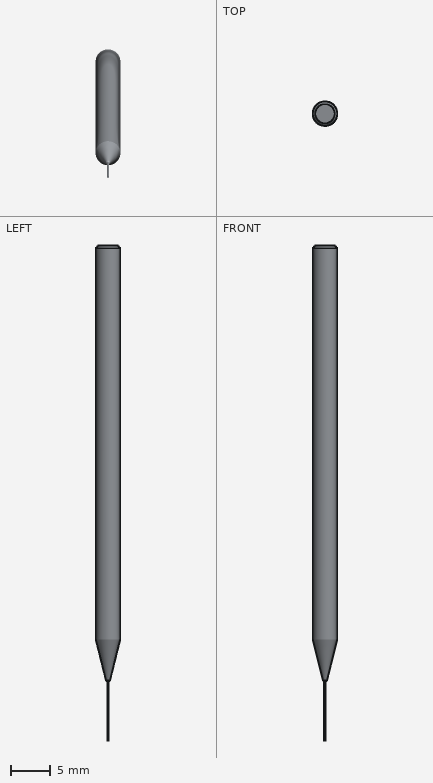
import cadquery as cq

INCH = 25.4

overall_length = 2.5 * INCH
shank_diameter = 0.125 * INCH
shank_chamfer = 0.35
cutter_diameter = 0.010 * INCH
cutter_length = 3 * cutter_diameter
neck_diameter = cutter_diameter
reach = 30 * cutter_diameter
taper_end_diameter = 0.55
taper_length = 5.23

shank_radius = shank_diameter / 2
neck_radius = neck_diameter / 2
taper_end_radius = taper_end_diameter / 2

taper_bottom = reach + (taper_end_radius - neck_radius)
taper_top = taper_bottom + taper_length
chamfer_start = overall_length - shank_chamfer


def make_shank():
    """Chamfered shank, taper and slender neck, turned about Z in one piece."""
    half_profile = [
        (0, cutter_length),
        (neck_radius, cutter_length),
        (neck_radius, reach),
        (taper_end_radius, taper_bottom),
        (shank_radius, taper_top),
        (shank_radius, chamfer_start),
        (shank_radius - shank_chamfer, overall_length),
        (0, overall_length),
    ]
    return cq.Workplane("XZ").polyline(half_profile).close().revolve(360, (0, 0), (0, 1))


def make_cutter():
    """Plain cylindrical cutting tip that meets the lower end of the neck."""
    return cq.Workplane("XY").circle(cutter_diameter / 2).extrude(cutter_length)


shank = make_shank()
cutter = make_cutter()

result = cq.Compound.makeCompound([shank.val(), cutter.val()])